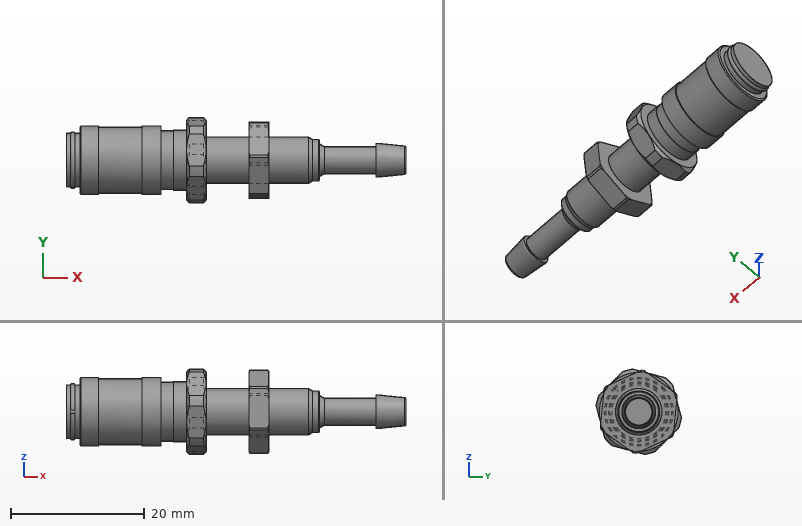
import cadquery as cq
import math

total_length = 51.05

plug_diameter = 8.1
ring_start = 0.6
ring_width = 0.65
ring_height = 0.2
ring_gap = 0.45

sleeve_start = 2.05
sleeve_end = 14.25
sleeve_diameter = 10.35
sleeve_chamfer_length = 0.15
sleeve_chamfer_height = 0.25
waist_start = 4.85
waist_end = 11.4
waist_diameter = 9.95

neck_diameter = 8.9
shoulder_start = 16.15
shoulder_diameter = 9.05

collar_start = 18.0
collar_width = 3.0
collar_flats = 11.95
collar_diameter = 12.95
collar_face_diameter = 11.85
collar_chamfer_length = 0.45
collar_angle = 45.0

shank_diameter = 7.0
shank_end = 36.35
band_start = 36.95
band_end = 38.05
band_diameter = 6.3
band_chamfer = 0.15

stem_diameter = 4.1
stem_root_diameter = 4.9
stem_start = 38.8
barb_start = 46.5
barb_crest = 46.8
barb_diameter = 5.1
barb_back_diameter = 5.0
barb_tip_chamfer_start = 50.85
barb_tip_diameter = 4.3
barb_end_diameter = 4.0

nut_start = 27.4
nut_width = 3.0
nut_flats = 11.05
nut_diameter = 12.5
nut_face_diameter = 12.05
nut_chamfer_length = 0.15
nut_angle = 24.5


def turned(points):
    """Solid of revolution about X through (x, diameter) points, closed along the axis."""
    outline = [(x, diameter / 2) for x, diameter in points]
    outline = [(points[0][0], 0)] + outline + [(points[-1][0], 0)]
    return cq.Workplane("XY").polyline(outline).close().revolve(360, (0, 0, 0), (1, 0, 0))


def hexagon(start, width, flats, diameter, face_diameter, chamfer_length, angle):
    """Hexagonal prism along X whose corners are cut by a turned, chamfered blank."""
    end = start + width
    across_corners = flats / math.cos(math.radians(30))
    prism = (
        cq.Workplane("YZ", origin=(start, 0, 0))
        .polygon(6, across_corners)
        .extrude(width)
        .rotate((0, 0, 0), (1, 0, 0), angle)
    )
    blank = turned([
        (start, face_diameter),
        (start + chamfer_length, diameter),
        (end - chamfer_length, diameter),
        (end, face_diameter),
    ])
    return prism.intersect(blank)


def make_snap_ring():
    """Rounded split ring standing proud of the plug, open towards -Y."""
    radius = plug_diameter / 2
    ring = (
        cq.Workplane("XY")
        .moveTo(ring_start, 0)
        .lineTo(ring_start, radius)
        .threePointArc(
            (ring_start + ring_width / 2, radius + ring_height),
            (ring_start + ring_width, radius),
        )
        .lineTo(ring_start + ring_width, 0)
        .close()
        .revolve(360, (0, 0, 0), (1, 0, 0))
    )
    gap = (
        cq.Workplane("XY")
        .box(ring_width, plug_diameter, ring_gap)
        .translate((ring_start + ring_width / 2, -plug_diameter / 2, 0))
    )
    return ring.cut(gap)


def make_coupling():
    """One-piece coupling from the plug to the hose barb."""
    body = turned([
        (0, plug_diameter),
        (sleeve_start, plug_diameter),
        (sleeve_start, sleeve_diameter - 2 * sleeve_chamfer_height),
        (sleeve_start + sleeve_chamfer_length, sleeve_diameter),
        (waist_start, sleeve_diameter),
        (waist_start, waist_diameter),
        (waist_end, waist_diameter),
        (waist_end, sleeve_diameter),
        (sleeve_end, sleeve_diameter),
        (sleeve_end, neck_diameter),
        (shoulder_start, neck_diameter),
        (shoulder_start, shoulder_diameter),
        (collar_start, shoulder_diameter),
        (collar_start, shank_diameter),
        (shank_end, shank_diameter),
        (band_start, band_diameter),
        (band_end - band_chamfer, band_diameter),
        (band_end, band_diameter - 2 * band_chamfer),
        (band_end, stem_root_diameter),
        (stem_start, stem_diameter),
        (barb_start, stem_diameter),
        (barb_start, barb_back_diameter),
        (barb_crest, barb_diameter),
        (barb_tip_chamfer_start, barb_tip_diameter),
        (total_length, barb_end_diameter),
    ])
    collar = hexagon(
        collar_start, collar_width, collar_flats, collar_diameter,
        collar_face_diameter, collar_chamfer_length, collar_angle,
    )
    return body.union(make_snap_ring()).union(collar)


def make_lock_nut():
    """Hexagonal nut whose bore fits the shank."""
    nut = hexagon(
        nut_start, nut_width, nut_flats, nut_diameter,
        nut_face_diameter, nut_chamfer_length, nut_angle,
    )
    shank = turned([(nut_start, shank_diameter), (nut_start + nut_width, shank_diameter)])
    return nut.cut(shank)


coupling = make_coupling()
lock_nut = make_lock_nut()

result = cq.Compound.makeCompound([coupling.val(), lock_nut.val()])